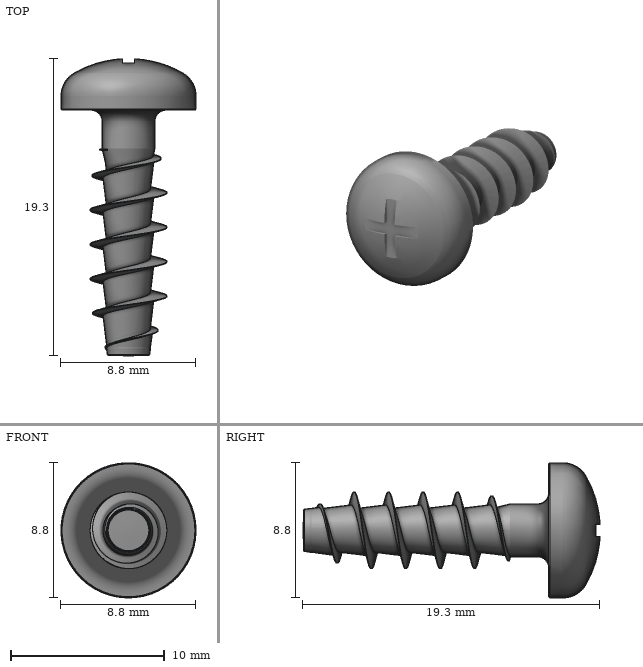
import cadquery as cq
import math


head_diameter = 8.8
head_height = 3.37
head_band_height = 0.9
head_shoulder_radius = 1.75
bearing_edge_chamfer = 0.08
slot_width = 0.77
slot_depth = 0.29

shank_length = 16.0
neck_diameter = 3.45
neck_fillet = 0.72
neck_length = 2.52
core_diameter = 2.86
run_in_length = 1.2
tip_diameter = 2.77
tip_bulge = 0.04
tip_edge_chamfer = 0.05
tip_taper = 0.13

pitch = 2.25
thread_diameter = 5.0
thread_start_depth = 2.57
crest_half_width = 0.02
flank_angle = 12.5
thread_root_radius = 1.25

start_turn = -0.1
helix_turn = 0.25
full_from_turn = 1.25
full_to_turn = 4.8
end_turn = 6.13
start_crest_radius = 1.84
end_crest_radius = 1.41

ramp_high_radius = 1.68
ramp_low_radius = 1.41
ramp_length = 2.2
ramp_start_turn = -0.25
ramp_end_turn = 6.0
ramp_tip_gap = 0.1
ramp_tip_sink = 0.02

segments_per_turn = 2
points_per_segment = 12

head_radius = head_diameter / 2
neck_radius = neck_diameter / 2
core_radius = core_diameter / 2
tip_radius = tip_diameter / 2
crest_radius = thread_diameter / 2
flank_slope = math.tan(math.radians(flank_angle))
tip_y = -shank_length
tip_rim_y = tip_y + tip_bulge + tip_edge_chamfer


def make_head():
    shoulder_x = head_radius - head_shoulder_radius
    shoulder_drop = head_height - head_band_height
    dome_radius = (shoulder_x**2 + shoulder_drop**2 - head_shoulder_radius**2) / (
        2 * (shoulder_drop - head_shoulder_radius)
    )
    dome_angle = math.asin(shoulder_x / (dome_radius - head_shoulder_radius))

    def on_dome(angle):
        return dome_radius * math.sin(angle), head_height - dome_radius * (1 - math.cos(angle))

    shoulder_mid_angle = (dome_angle + math.pi / 2) / 2
    shoulder_mid = (
        shoulder_x + head_shoulder_radius * math.sin(shoulder_mid_angle),
        head_band_height + head_shoulder_radius * math.cos(shoulder_mid_angle),
    )
    return (
        cq.Workplane("XY")
        .lineTo(head_radius - bearing_edge_chamfer, 0)
        .lineTo(head_radius, bearing_edge_chamfer)
        .lineTo(head_radius, head_band_height)
        .threePointArc(shoulder_mid, on_dome(dome_angle))
        .threePointArc(on_dome(dome_angle / 2), (0, head_height))
        .close()
        .revolve(360, (0, 0), (0, 1))
    )


def make_cross_slots():
    floor_y = head_height - slot_depth
    slot = cq.Workplane("XY").box(head_diameter, 2 * slot_depth, slot_width)
    slots = slot.union(slot.rotate((0, 0, 0), (0, 1, 0), 90))
    return slots.translate((0, floor_y + slot_depth, 0))


def make_shank():
    tip_cone_y = tip_rim_y + (core_radius - tip_radius) / tip_taper
    fillet_offset = neck_fillet * (1 - math.sqrt(0.5))
    return (
        cq.Workplane("XY")
        .moveTo(0, head_band_height)
        .lineTo(neck_radius + neck_fillet, head_band_height)
        .lineTo(neck_radius + neck_fillet, 0)
        .threePointArc((neck_radius + fillet_offset, -fillet_offset), (neck_radius, -neck_fillet))
        .lineTo(neck_radius, -neck_length)
        .lineTo(core_radius, -neck_length - run_in_length)
        .lineTo(core_radius, tip_cone_y)
        .lineTo(tip_radius, tip_rim_y)
        .lineTo(tip_radius - tip_edge_chamfer, tip_rim_y - tip_edge_chamfer)
        .lineTo(0, tip_y)
        .close()
        .revolve(360, (0, 0), (0, 1))
    )


def helix_depth(turn):
    return thread_start_depth + pitch * (turn - helix_turn)


def helical_solid(section, first_turn, last_turn):
    """Solid swept along the helix; section(turn) gives its corners as (radius, y)."""

    def corner_points(turn):
        angle = 2 * math.pi * turn
        return [cq.Vector(-r * math.cos(angle), y, -r * math.sin(angle)) for r, y in section(turn)]

    segments = math.ceil((last_turn - first_turn) * segments_per_turn)
    segment_turns = (last_turn - first_turn) / segments
    faces = []
    for segment in range(segments):
        start = first_turn + segment * segment_turns
        rows = [
            corner_points(start + segment_turns * i / points_per_segment)
            for i in range(points_per_segment + 1)
        ]
        paths = [cq.Edge.makeSpline(list(points)) for points in zip(*rows)]
        faces += [cq.Face.makeRuledSurface(paths[i - 1], paths[i]) for i in range(len(paths))]
    for end in (first_turn, last_turn):
        faces.append(cq.Face.makeFromWires(cq.Wire.makePolygon(corner_points(end), close=True)))
    return cq.Workplane(cq.Solid.makeSolid(cq.Shell.makeShell(faces)).fix())


def fade(turn, turn_a, radius_a, turn_b, radius_b):
    return radius_a + (radius_b - radius_a) * (turn - turn_a) / (turn_b - turn_a)


def thread_section(turn):
    radius = min(
        crest_radius,
        fade(turn, start_turn, start_crest_radius, full_from_turn, crest_radius),
        fade(turn, full_to_turn, crest_radius, end_turn, end_crest_radius),
    )
    y = -max(helix_depth(turn), thread_start_depth)
    root_half_width = crest_half_width + (radius - thread_root_radius) * flank_slope
    return [
        (thread_root_radius, y + root_half_width),
        (radius, y + crest_half_width),
        (radius, y - crest_half_width),
        (thread_root_radius, y - root_half_width),
    ]


def tip_cone_radius(y):
    return tip_radius + tip_taper * (y - tip_rim_y)


def ramp_section(turn):
    high_y = -helix_depth(turn)
    low_y = max(high_y - ramp_length, tip_rim_y + ramp_tip_gap)
    high_radius = min(ramp_high_radius, tip_cone_radius(high_y))
    low_radius = min(ramp_low_radius, tip_cone_radius(low_y) - ramp_tip_sink)
    return [
        (thread_root_radius, high_y),
        (high_radius, high_y),
        (low_radius, low_y),
        (thread_root_radius, low_y),
    ]


core_ramp = helical_solid(ramp_section, ramp_start_turn, ramp_end_turn)
thread = helical_solid(thread_section, start_turn, end_turn)
shank = make_shank().union(core_ramp).union(thread)
result = shank.union(make_head()).cut(make_cross_slots())